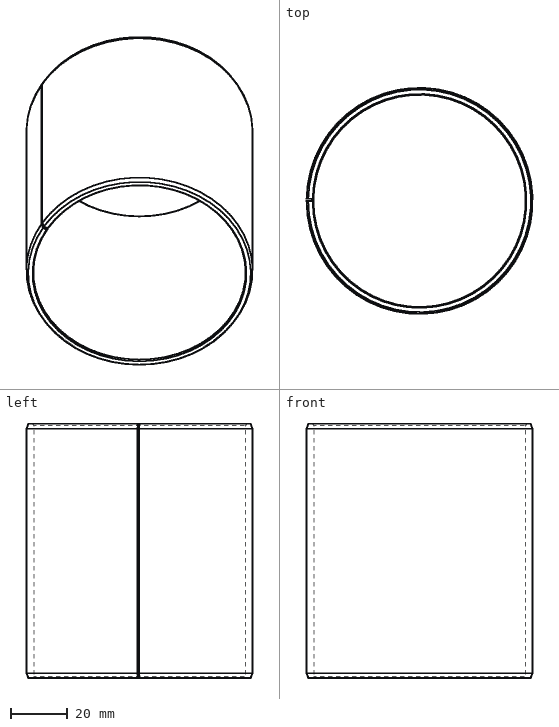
import cadquery as cq
import math

outer_diameter = 80.0
wall_thickness = 2.5
length = 90.0

outer_chamfer_length = 1.8
outer_chamfer_angle = 20.0

bore_chamfer_length = 0.6
bore_chamfer_angle = 30.0

joint_angle = 1.0

outer_radius = outer_diameter / 2
inner_radius = outer_radius - wall_thickness
half_length = length / 2


def chamfer_depth(chamfer_length, angle):
    """Radial depth of a chamfer with the given axial length."""
    return chamfer_length * math.tan(math.radians(angle))


def make_split_sleeve():
    """Revolve the wall section around Z, stopping short of a full turn to leave the joint."""
    rim_outer_radius = outer_radius - chamfer_depth(outer_chamfer_length, outer_chamfer_angle)
    rim_inner_radius = inner_radius + chamfer_depth(bore_chamfer_length, bore_chamfer_angle)
    outer_wall_end = half_length - outer_chamfer_length
    bore_end = half_length - bore_chamfer_length
    return (
        cq.Workplane("XZ")
        .moveTo(-rim_inner_radius, -half_length)
        .lineTo(-rim_outer_radius, -half_length)
        .lineTo(-outer_radius, -outer_wall_end)
        .lineTo(-outer_radius, outer_wall_end)
        .lineTo(-rim_outer_radius, half_length)
        .lineTo(-rim_inner_radius, half_length)
        .lineTo(-inner_radius, bore_end)
        .lineTo(-inner_radius, -bore_end)
        .close()
        .revolve(360 - joint_angle, (0, 0, 0), (0, 1, 0))
    )


result = make_split_sleeve()